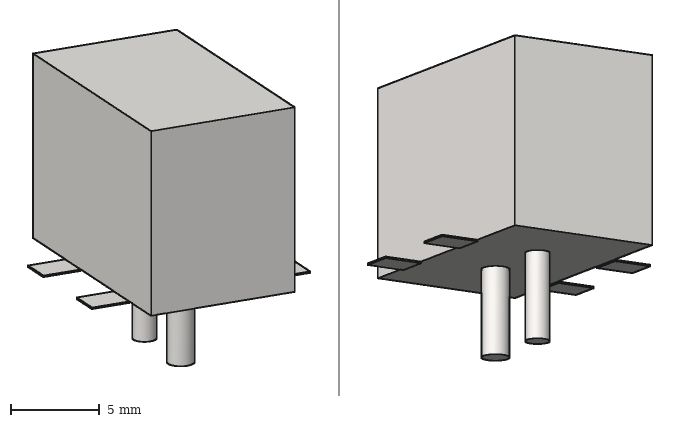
import cadquery as cq

overall_depth = 13.72
overall_height = 16.1

housing_width = 14.8
housing_depth = 9.05
housing_height = 11.0

pin_length = overall_height - housing_height
small_pin_diameter = 1.4
small_pin_x = -2.43
large_pin_diameter = 1.6
large_pin_x = 2.11

terminal_width = 1.93
terminal_thickness = 0.1
terminal_length = (overall_depth - housing_depth) / 2
terminal_pitch = 6.09
left_terminal_x = -2.4
terminal_columns = [left_terminal_x, left_terminal_x + terminal_pitch]


def make_housing():
    """Plain block standing on Z = 0."""
    return cq.Workplane("XY").box(
        housing_width, housing_depth, housing_height, centered=(True, True, False)
    )


def make_pin(diameter, x):
    """Round pin whose top face touches the underside of the housing."""
    return cq.Workplane("XY").center(x, 0).circle(diameter / 2).extrude(-pin_length)


def make_terminal(x, side):
    """Flat terminal reaching outward from a lower edge; side is -1 or +1 along Y."""
    y = side * (housing_depth + terminal_length) / 2
    return (
        cq.Workplane("XY")
        .center(x, y)
        .rect(terminal_width, terminal_length)
        .extrude(-terminal_thickness)
    )


housing = make_housing()
small_pin = make_pin(small_pin_diameter, small_pin_x)
large_pin = make_pin(large_pin_diameter, large_pin_x)
terminals = [make_terminal(x, side) for x in terminal_columns for side in (-1, 1)]

result = cq.Compound.makeCompound(
    [
        housing.val(),
        small_pin.val(),
        large_pin.val(),
        *[terminal.val() for terminal in terminals],
    ]
)